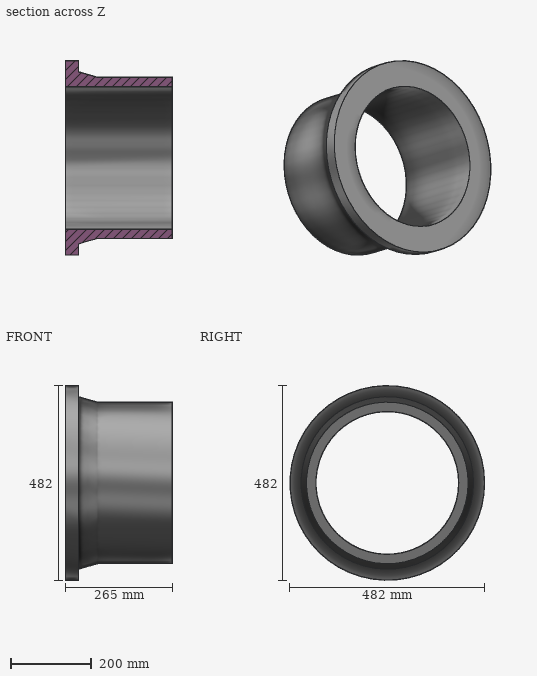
import cadquery as cq

total_length = 265.0
flange_diameter = 482.0
flange_thickness = 33.0
shoulder_diameter = 427.0
shoulder_end = 80.0
pipe_diameter = 400.0
wall_thickness = 23.7

flange_radius = flange_diameter / 2
shoulder_radius = shoulder_diameter / 2
pipe_radius = pipe_diameter / 2
bore_radius = pipe_radius - wall_thickness


def make_stub_end():
    """Revolve the half section around the X axis, flange face at the YZ plane."""
    half_section = (
        cq.Workplane("XY")
        .moveTo(0, bore_radius)
        .lineTo(0, flange_radius)
        .lineTo(flange_thickness, flange_radius)
        .lineTo(flange_thickness, shoulder_radius)
        .lineTo(shoulder_end, pipe_radius)
        .lineTo(total_length, pipe_radius)
        .lineTo(total_length, bore_radius)
        .close()
    )
    return half_section.revolve(360, (0, 0, 0), (1, 0, 0))


result = make_stub_end()